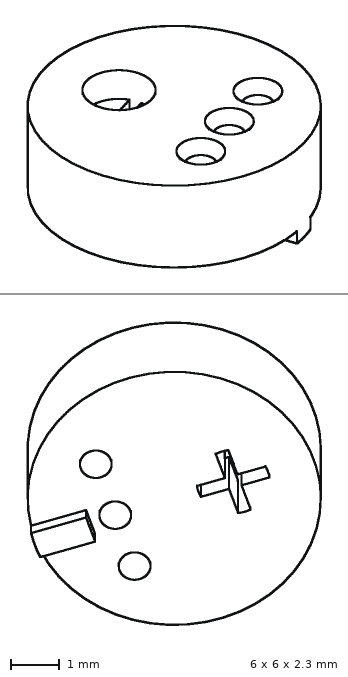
import cadquery as cq

disc_diameter = 6.0
disc_height = 2.0

key_length = 1.2
key_width = 0.6
key_height = 0.3

pitch = 1.27
pin_hole_diameter = 0.65
pin_countersink_diameter = 1.0
countersink_angle = 60.0

pocket_diameter = 1.5
pocket_depth = 0.7
cross_slot_width = 0.27


def make_cylinder(diameter, bottom, top, center_x=0):
    """Upright cylinder between two heights."""
    base = cq.Workplane("XY", origin=(center_x, 0, bottom))
    return base.circle(diameter / 2).extrude(top - bottom)


def make_disc():
    return make_cylinder(disc_diameter, 0, disc_height)


def make_key():
    """Bar below the disc whose outer end follows the disc's rim."""
    inner_end_x = disc_diameter / 2 - key_length
    bar = cq.Workplane("XY").box(disc_diameter, key_width, key_height, centered=(False, True, False))
    rim = make_cylinder(disc_diameter, -key_height, 0)
    return rim.intersect(bar.translate((inner_end_x, 0, -key_height)))


def cut_pin_holes(body):
    """Row of three countersunk through holes."""
    return (
        body.faces(">Z")
        .workplane(origin=(0, 0, disc_height))
        .pushPoints([(pitch, row * pitch) for row in (-1, 0, 1)])
        .cskHole(pin_hole_diameter, pin_countersink_diameter, countersink_angle)
    )


def cut_cross_pocket(body):
    """Round pocket with two crossed slots running on through its floor."""
    pocket_floor = disc_height - pocket_depth
    pocket = make_cylinder(pocket_diameter, pocket_floor, disc_height, -pitch)
    bore = make_cylinder(pocket_diameter, 0, pocket_floor, -pitch)
    slot_length = 2 * pocket_diameter
    slot_plane = cq.Workplane("XY", origin=(-pitch, 0, 0))
    slot_along_x = slot_plane.rect(slot_length, cross_slot_width).extrude(pocket_floor)
    slot_along_y = slot_plane.rect(cross_slot_width, slot_length).extrude(pocket_floor)
    cross = bore.intersect(slot_along_x.union(slot_along_y))
    return body.cut(pocket).cut(cross)


disc = cut_cross_pocket(cut_pin_holes(make_disc()))
result = disc.union(make_key())